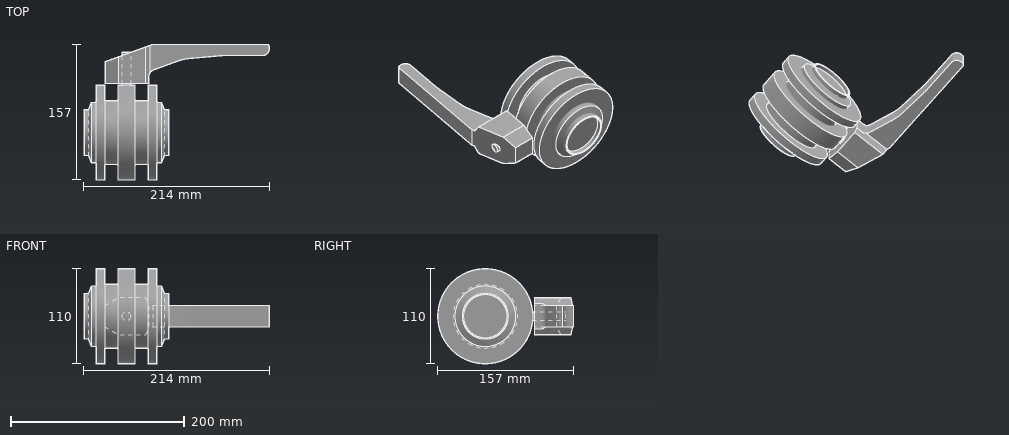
import cadquery as cq
import math

flange_radius = 55.0
centre_ring_half_width = 10.0
flange_inner_x = 25.0
flange_outer_x = 35.0
barrel_radius = 37.0
collar_radius = 35.0
collar_end_x = 40.5
spigot_radius = 26.5
spigot_root_x = 43.9
spigot_end_x = 49.0
root_fillet = 1.0
bore_radius = 25.0
bore_depth = 5.0

stem_radius = 5.0
stem_end_y = 92.8

hub_base_y = 56.7
hub_left_x = -24.5
hub_left_top_y = 82.0
hub_right_x = 26.0
hub_half_height = 21.5
lever_half_height = 12.5
left_corner_run = 15.5
right_corner_start_x = 22.0
right_corner_angle = 60.0

lever_end_x = 165.0
lever_top_y = 102.0
grip_thickness = 13.2
grip_start_x = 110.8
grip_taper_angle = 5.0
neck_angle = 20.0
bend_x = 65.8
neck_fillet = 8.0
bend_fillet = 50.0
grip_start_radius = 8.0
tip_lower_fillet = 8.0
tip_upper_fillet = 3.0


def slope(angle):
    return math.tan(math.radians(angle))


def make_body_side():
    """Turned body on the +X side of the centre ring, with a shallow bore in its end."""
    profile = (
        cq.Workplane("XY")
        .moveTo(centre_ring_half_width, 0)
        .lineTo(centre_ring_half_width, barrel_radius + root_fillet)
        .radiusArc((centre_ring_half_width + root_fillet, barrel_radius), -root_fillet)
        .lineTo(flange_inner_x, barrel_radius)
        .lineTo(flange_inner_x, flange_radius)
        .lineTo(flange_outer_x, flange_radius)
        .lineTo(flange_outer_x, collar_radius + root_fillet)
        .radiusArc((flange_outer_x + root_fillet, collar_radius), -root_fillet)
        .lineTo(collar_end_x, collar_radius)
        .lineTo(spigot_root_x, spigot_radius)
        .lineTo(spigot_end_x, spigot_radius)
        .lineTo(spigot_end_x, bore_radius)
        .lineTo(spigot_end_x - bore_depth, bore_radius)
        .lineTo(spigot_end_x - bore_depth, 0)
        .close()
    )
    side = profile.revolve(360, (0, 0, 0), (1, 0, 0))
    edge_margin = 0.1
    root_edge = cq.selectors.BoxSelector(
        (spigot_root_x - edge_margin, -flange_radius, -flange_radius),
        (spigot_root_x + edge_margin, flange_radius, flange_radius),
    )
    return side.edges(root_edge).fillet(root_fillet)


def make_centre_ring():
    return cq.Workplane("YZ").circle(flange_radius).extrude(centre_ring_half_width, both=True)


def make_stem():
    return cq.Workplane("XZ").circle(stem_radius).extrude(-stem_end_y)


def make_valve_body():
    side = make_body_side()
    return make_centre_ring().union(side).union(side.mirror("YZ")).union(make_stem())


def make_handle_side_profile():
    """Side outline of hub and lever in the XY plane, extruded to the hub height."""
    grip_bottom_y = lever_top_y - grip_thickness
    slope_top_x = hub_left_x + (lever_top_y - hub_left_top_y) / slope(neck_angle)
    bend_y = grip_bottom_y - (grip_start_x - bend_x) * slope(grip_taper_angle)
    neck_root_y = bend_y - (bend_x - hub_right_x) * slope(neck_angle)
    blend_length = grip_start_radius * slope(grip_taper_angle / 2)
    taper = math.radians(grip_taper_angle)
    blend_start = (
        grip_start_x - blend_length * math.cos(taper),
        grip_bottom_y - blend_length * math.sin(taper),
    )
    blend_end = (grip_start_x + blend_length, grip_bottom_y)
    solid = (
        cq.Workplane("XY", origin=(0, 0, -hub_half_height))
        .moveTo(hub_left_x, hub_base_y)
        .lineTo(hub_right_x, hub_base_y)
        .lineTo(hub_right_x, neck_root_y)
        .lineTo(bend_x, bend_y)
        .lineTo(*blend_start)
        .radiusArc(blend_end, grip_start_radius)
        .lineTo(lever_end_x, grip_bottom_y)
        .lineTo(lever_end_x, lever_top_y)
        .lineTo(slope_top_x, lever_top_y)
        .lineTo(hub_left_x, hub_left_top_y)
        .close()
        .extrude(2 * hub_half_height)
    )
    rounded_corners = [
        (hub_right_x, neck_root_y, neck_fillet),
        (bend_x, bend_y, bend_fillet),
        (lever_end_x, grip_bottom_y, tip_lower_fillet),
        (lever_end_x, lever_top_y, tip_upper_fillet),
    ]
    for x, y, radius in rounded_corners:
        corner = cq.selectors.NearestToPointSelector((x, y, 0))
        solid = solid.edges("|Z").edges(corner).fillet(radius)
    return solid


def make_handle_plan():
    """Outline of hub and lever in the XZ plane, extruded over the handle's Y range."""
    corner_height = hub_half_height - lever_half_height
    right_corner_end_x = right_corner_start_x + corner_height / slope(right_corner_angle)
    upper_points = [
        (hub_left_x, lever_half_height),
        (hub_left_x + left_corner_run, hub_half_height),
        (right_corner_start_x, hub_half_height),
        (right_corner_end_x, lever_half_height),
        (lever_end_x, lever_half_height),
    ]
    lower_points = [(x, -z) for x, z in reversed(upper_points)]
    return cq.Workplane("XZ").polyline(upper_points + lower_points).close().extrude(-lever_top_y)


def make_stem_hole():
    return cq.Workplane("XZ").circle(stem_radius).extrude(-lever_top_y)


def make_handle():
    """Hub and lever in one piece, with a through hole that fits the stem."""
    return make_handle_side_profile().intersect(make_handle_plan()).cut(make_stem_hole())


valve_body = make_valve_body()
handle = make_handle()
result = cq.Compound.makeCompound([valve_body.val(), handle.val()])